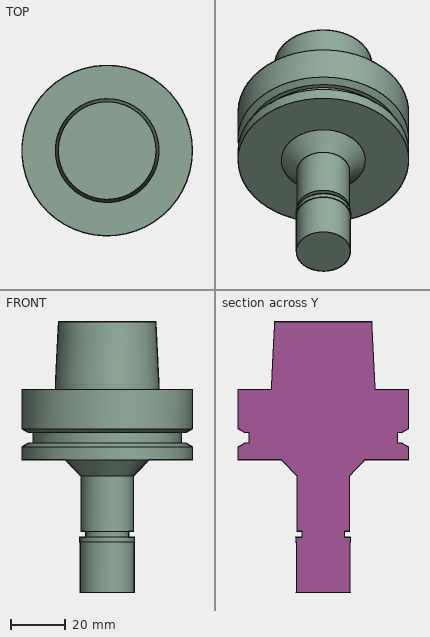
import cadquery as cq

total_height = 100.0
flange_top = 75.0
flange_bottom = 49.0

plug_diameter = 38.3
plug_tip_diameter = 36.0
plug_collar_height = 2.0

flange_diameter = 63.0
groove_diameter = 55.0
groove_bevel_diameter = 58.0
lower_rim_height = 4.8
groove_bevel_height = 1.4
groove_width = 6.6

cone_top_diameter = 31.0
neck_diameter = 19.5
cone_height = 6.0

neck_bottom = 22.6
relief_diameter = 16.0
collar_top = 20.5
collar_diameter = 20.3
collar_height = 1.9
end_diameter = 20.0


def disc(diameter, bottom, top):
    """Cylinder on the Z axis between two heights."""
    return cq.Workplane("XY").workplane(offset=bottom).circle(diameter / 2).extrude(top - bottom)


def cone(bottom_diameter, top_diameter, bottom, top):
    """Truncated cone on the Z axis between two heights."""
    profile = [(0, bottom), (bottom_diameter / 2, bottom), (top_diameter / 2, top), (0, top)]
    return cq.Workplane("XZ").polyline(profile).close().revolve(360, (0, 0, 0), (0, 1, 0))


collar_bottom = collar_top - collar_height
cone_bottom = flange_bottom - cone_height
shank = (
    disc(end_diameter, 0, collar_bottom)
    .union(disc(collar_diameter, collar_bottom, collar_top))
    .union(disc(relief_diameter, collar_top, neck_bottom))
    .union(disc(neck_diameter, neck_bottom, cone_bottom))
    .union(cone(neck_diameter, cone_top_diameter, cone_bottom, flange_bottom))
)

groove_bottom = flange_bottom + lower_rim_height
groove_top = groove_bottom + groove_width
lower_bevel_top = groove_bottom + groove_bevel_height
upper_bevel_bottom = groove_top - groove_bevel_height
flange = (
    disc(flange_diameter, flange_bottom, groove_bottom)
    .union(cone(flange_diameter, groove_bevel_diameter, groove_bottom, lower_bevel_top))
    .union(disc(groove_diameter, lower_bevel_top, upper_bevel_bottom))
    .union(cone(groove_bevel_diameter, flange_diameter, upper_bevel_bottom, groove_top))
    .union(disc(flange_diameter, groove_top, flange_top))
)

taper_bottom = flange_top + plug_collar_height
plug = disc(plug_diameter, flange_top, taper_bottom).union(
    cone(plug_diameter, plug_tip_diameter, taper_bottom, total_height)
)

result = shank.union(flange).union(plug)